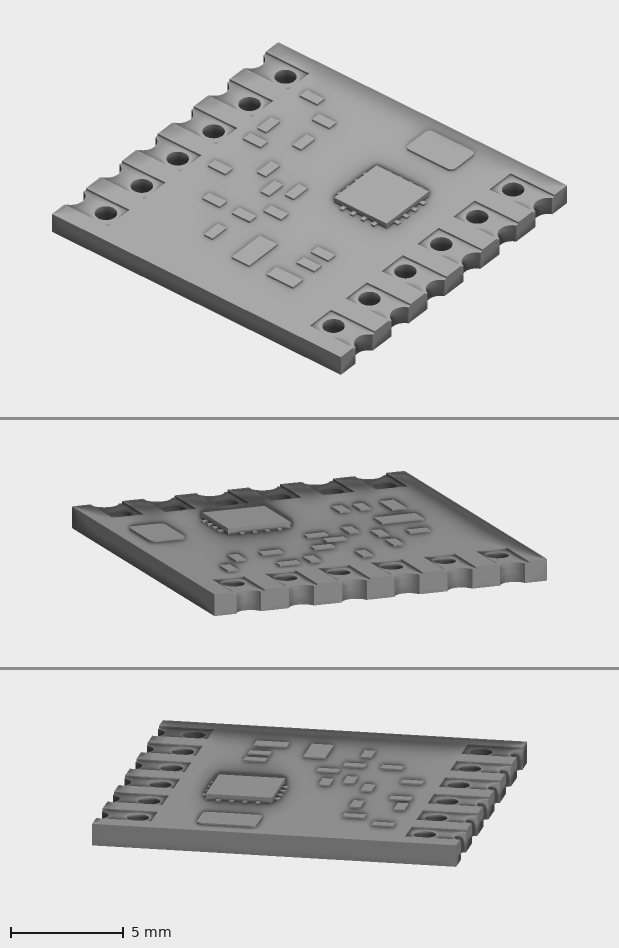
import cadquery as cq

BOARD_LENGTH = 16.5
BOARD_WIDTH = 16.0
BOARD_THICKNESS = 1.0
TOTAL_HEIGHT = 1.3

PAD_COUNT = 6
PAD_PITCH = 2.54
PAD_LENGTH = 2.5
PAD_WIDTH = 1.5
PAD_DEPTH = 0.1
HOLE_DIAMETER = 1.0
HOLE_EDGE_DISTANCE = 1.75
NOTCH_RADIUS = 0.65
NOTCH_DEPTH = 0.4

CHIP_CENTER = (2.5, 2.0)
CHIP_SIDE = 3.0
CHIP_HEIGHT = TOTAL_HEIGHT - BOARD_THICKNESS
LEAD_COUNT = 4
LEAD_PITCH = 0.6
LEAD_WIDTH = 0.2
LEAD_REACH = 0.25
LEAD_HEIGHT = 0.1

CRYSTAL_CENTER = (2.35, 6.35)
CRYSTAL_LENGTH = 2.7
CRYSTAL_WIDTH = 1.7
CRYSTAL_CORNER_RADIUS = 0.25

COMPONENT_HEIGHT = 0.1
SMALL_LENGTH = 1.0
SMALL_WIDTH = 0.5
SMALL_ALONG_X = [
    (-4.5, 5.75),
    (-3.0, 4.75),
    (-4.5, 1.75),
    (-4.5, -0.75),
    (-0.5, -1.75),
    (-3.2, -2.75),
    (-1.5, -2.75),
    (3.0, -2.75),
    (3.0, -3.75),
]
SMALL_ALONG_Y = [
    (-4.75, 3.0),
    (-2.75, 3.0),
    (-2.75, 0.5),
    (-1.75, -0.5),
    (-0.75, 0.0),
    (-1.75, -4.5),
]
LARGE_CENTER = (0.5, -4.5)
LARGE_LENGTH = 1.0
LARGE_WIDTH = 2.0
MEDIUM_CENTER = (2.75, -5.15)
MEDIUM_LENGTH = 1.5
MEDIUM_WIDTH = 0.7


def centered_positions(count, pitch):
    """Evenly spaced positions, symmetric about zero."""
    return [(index - (count - 1) / 2) * pitch for index in range(count)]


def block_on_board(center, length, width, height):
    """Rectangular block standing on the top face of the board."""
    return (
        cq.Workplane("XY", origin=(*center, BOARD_THICKNESS))
        .rect(length, width)
        .extrude(height)
    )


def through_cylinders(centers, radius):
    """Vertical cylinders spanning the full board thickness."""
    return cq.Workplane("XY").pushPoints(centers).circle(radius).extrude(BOARD_THICKNESS)


def make_board():
    """Plain board with its recessed pads, holes and edge notches."""
    board = cq.Workplane("XY").box(
        BOARD_LENGTH, BOARD_WIDTH, BOARD_THICKNESS, centered=(True, True, False)
    )
    pad_x = (BOARD_LENGTH - PAD_LENGTH) / 2
    hole_x = BOARD_LENGTH / 2 - HOLE_EDGE_DISTANCE
    notch_x = BOARD_LENGTH / 2 + NOTCH_RADIUS - NOTCH_DEPTH
    rows = centered_positions(PAD_COUNT, PAD_PITCH)

    for side in (-1, 1):
        pads = (
            cq.Workplane("XY", origin=(0, 0, BOARD_THICKNESS))
            .pushPoints([(side * pad_x, y) for y in rows])
            .rect(PAD_LENGTH, PAD_WIDTH)
            .extrude(-PAD_DEPTH)
        )
        holes = through_cylinders([(side * hole_x, y) for y in rows], HOLE_DIAMETER / 2)
        notches = through_cylinders([(side * notch_x, y) for y in rows], NOTCH_RADIUS)
        board = board.cut(pads).cut(holes).cut(notches)
    return board


def make_chip():
    """Chip body joined with lead bars that cross it and stick out on opposite sides."""
    chip = block_on_board(CHIP_CENTER, CHIP_SIDE, CHIP_SIDE, CHIP_HEIGHT)
    lead_span = CHIP_SIDE + 2 * LEAD_REACH
    center_x, center_y = CHIP_CENTER
    for offset in centered_positions(LEAD_COUNT, LEAD_PITCH):
        bar_along_x = block_on_board((center_x, center_y + offset), lead_span, LEAD_WIDTH, LEAD_HEIGHT)
        bar_along_y = block_on_board((center_x + offset, center_y), LEAD_WIDTH, lead_span, LEAD_HEIGHT)
        chip = chip.union(bar_along_x).union(bar_along_y)
    return chip


def make_crystal():
    """Low crystal can with rounded vertical edges."""
    can = block_on_board(CRYSTAL_CENTER, CRYSTAL_LENGTH, CRYSTAL_WIDTH, COMPONENT_HEIGHT)
    return can.edges("|Z").fillet(CRYSTAL_CORNER_RADIUS)


def make_components():
    """All low rectangular components."""
    components = block_on_board(LARGE_CENTER, LARGE_LENGTH, LARGE_WIDTH, COMPONENT_HEIGHT)
    components = components.union(
        block_on_board(MEDIUM_CENTER, MEDIUM_LENGTH, MEDIUM_WIDTH, COMPONENT_HEIGHT)
    )
    for center in SMALL_ALONG_X:
        components = components.union(
            block_on_board(center, SMALL_LENGTH, SMALL_WIDTH, COMPONENT_HEIGHT)
        )
    for center in SMALL_ALONG_Y:
        components = components.union(
            block_on_board(center, SMALL_WIDTH, SMALL_LENGTH, COMPONENT_HEIGHT)
        )
    return components


result = make_board().union(make_chip()).union(make_crystal()).union(make_components())